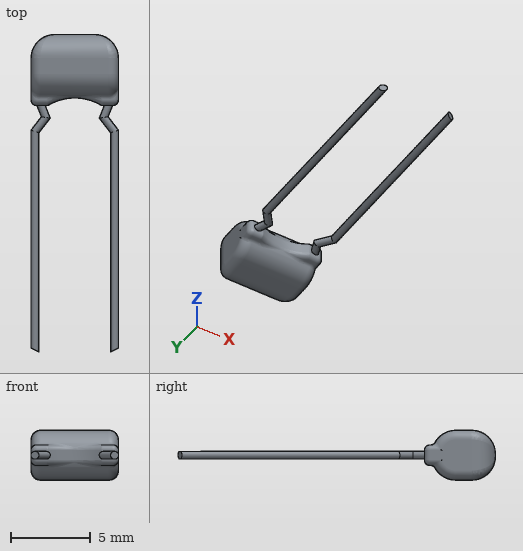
import cadquery as cq


body_width = 5.5
body_depth = 4.0
body_height = 3.15
body_round = 1.5
back_corner_radius = 1.5
end_round = 0.6

foot_height = 1.3
foot_length = 0.48
foot_outer_corner = 0.36
foot_inner_corner = 0.1
foot_inner_x = 1.7
foot_edge_round = 0.35
web_blend = 0.3

lead_diameter = 0.5
overall_length = 19.96
lead_root_x = 2.3
kink_x = 1.82
kink_offset = 1.22
shoulder_offset = 2.1
tip_bevel = 0.25

PICK = 0.05

back_y = body_depth / 2
front_y = -body_depth / 2
half_width = body_width / 2
foot_end_y = front_y - foot_length
tip_y = back_y - overall_length
lead_x = half_width - lead_diameter / 2


def make_body():
    """Rounded bar along X with rounded rear corners and softened end edges."""
    bar = (
        cq.Workplane("XY")
        .box(body_width, body_depth, body_height)
        .edges("|X")
        .fillet(body_round)
    )
    plan = (
        cq.Workplane("XY")
        .box(body_width, body_depth, body_height)
        .edges("|Z and >Y")
        .fillet(back_corner_radius)
    )
    body = bar.intersect(plan)
    return body.faces("<X or >X").edges().fillet(end_round)


def upright_edges(solid, x):
    """Front vertical edges of the feet lying at +x and -x."""
    return solid.edges("|Z").edges(
        cq.selectors.BoxSelector(
            (-x - PICK, foot_end_y - PICK, -foot_height),
            (-x + PICK, foot_end_y + PICK, foot_height),
        )
        + cq.selectors.BoxSelector(
            (x - PICK, foot_end_y - PICK, -foot_height),
            (x + PICK, foot_end_y + PICK, foot_height),
        )
    )


def make_feet():
    """Two rounded feet joined by a web whose concave front edge touches the body front."""
    feet = (
        cq.Workplane("XY")
        .workplane(offset=-foot_height / 2)
        .moveTo(-half_width, 0)
        .lineTo(-half_width, foot_end_y)
        .lineTo(-foot_inner_x, foot_end_y)
        .threePointArc((0, front_y), (foot_inner_x, foot_end_y))
        .lineTo(half_width, foot_end_y)
        .lineTo(half_width, 0)
        .close()
        .extrude(foot_height)
    )
    feet = upright_edges(feet, half_width).fillet(foot_outer_corner)
    feet = upright_edges(feet, foot_inner_x).fillet(foot_inner_corner)
    buried_edges = cq.selectors.BoxSelector(
        (-half_width, -PICK, -foot_height), (half_width, PICK, foot_height)
    )
    rims = cq.selectors.SubtractSelector(cq.selectors.Selector(), buried_edges)
    return feet.faces("<Z or >Z").edges(rims).fillet(foot_edge_round)


def join_feet(body):
    """Join the feet to the body and blend the web's top and bottom into the body front."""
    joined = body.union(make_feet())
    web_seams = cq.selectors.BoxSelector(
        (-PICK, front_y + PICK, -foot_height),
        (PICK, front_y + body_round / 2, foot_height),
    )
    return joined.edges(web_seams).fillet(web_blend)


def make_lead():
    """Round wire on the -X side: root in the foot, inward kink, straight run, bevelled tip."""
    path = (
        cq.Workplane("XY")
        .moveTo(-lead_x, tip_y)
        .lineTo(-lead_x, front_y - shoulder_offset)
        .lineTo(-kink_x, front_y - kink_offset)
        .lineTo(-lead_root_x, front_y)
    )
    lead = (
        cq.Workplane("XZ", origin=(-lead_x, tip_y, 0))
        .circle(lead_diameter / 2)
        .sweep(path, transition="right")
    )
    bevel = (
        cq.Workplane("XY")
        .workplane(offset=-lead_diameter)
        .moveTo(-half_width, tip_y)
        .lineTo(-half_width + lead_diameter, tip_y)
        .lineTo(-half_width, tip_y + tip_bevel)
        .close()
        .extrude(2 * lead_diameter)
    )
    return lead.cut(bevel)


left_lead = make_lead()
right_lead = left_lead.mirror("YZ")
result = join_feet(make_body()).union(left_lead).union(right_lead)